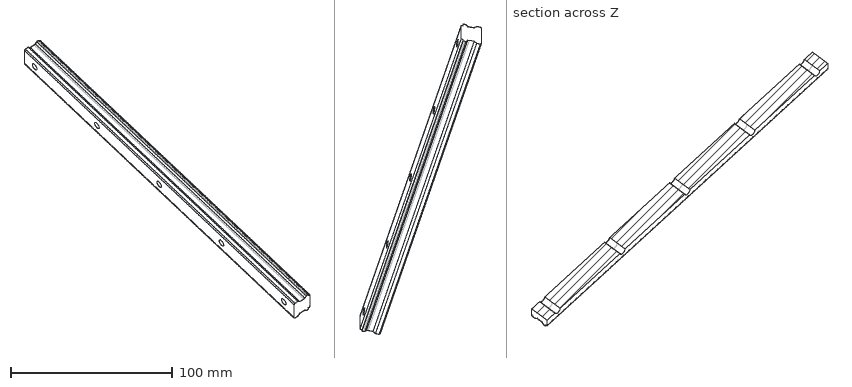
import cadquery as cq

length = 260.0
depth = 13.0
height = 15.0

web_height = 12.0
edge_chamfer = 0.8
front_flange = 3.0
back_edge_drop = 0.13
back_slope_rise = 0.5
lip_back = 1.3
lip_crest = 2.3
lip_front = 3.0
lip_foot = 4.2
groove_start = 5.2
crest_fall = 0.13
foot_height = 0.13

hole_diameter = 4.5
hole_pitch = 60.0
hole_count = 5

front = -depth / 2
back = depth / 2
crest = height / 2
floor = web_height / 2
back_edge = floor - back_edge_drop
flank_run = crest - floor


def rail_body():
    """Symmetric rail section extruded along X."""
    upper = [
        (front, crest - edge_chamfer),
        (front + edge_chamfer, crest),
        (front + front_flange, crest),
        (front + front_flange + flank_run, floor),
        (back - groove_start, floor),
        (back - lip_foot, floor + foot_height),
        (back - lip_front, crest - crest_fall),
        (back - lip_crest, crest),
        (back - lip_back, crest - crest_fall),
        (back - lip_back, back_edge + back_slope_rise),
        (back, back_edge),
    ]
    lower = [(y, -z) for y, z in reversed(upper)]
    section = cq.Workplane("YZ").polyline(upper + lower).close()
    return section.extrude(length / 2, both=True)


def mounting_holes():
    """Row of evenly spaced through holes along Y."""
    row = cq.Workplane("XZ").rarray(hole_pitch, 2.5, hole_count, 1)
    return row.circle(hole_diameter / 2).extrude(depth, both=True)


result = rail_body().cut(mounting_holes())